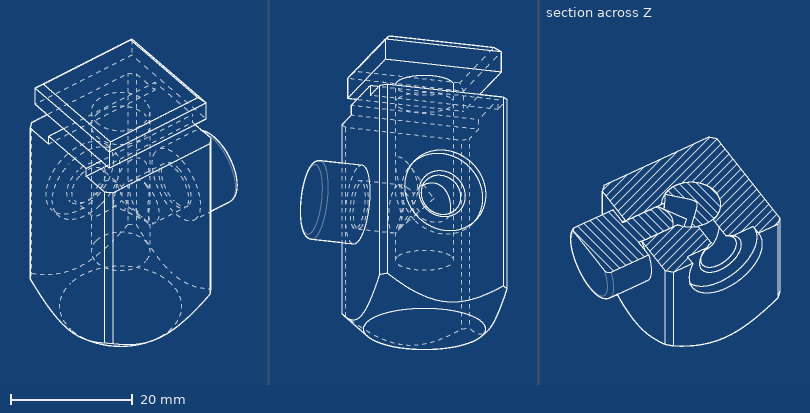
import cadquery as cq

total_height = 47.0
housing_width = 22.0
housing_height = 39.5
edge_chamfer = 1.0
ridge_width = 10.1
ridge_height = 1.7

plate_width = 20.0
plate_thickness = 4.5

stem_diameter = 9.6
stem_bottom = 12.0

screw_height = 20.4
screw_diameter = 8.0
head_diameter = 13.0
head_length = 8.0
head_fillet = 0.75
head_gap = 0.5

port_diameter = 6.8
port_mouth_diameter = screw_diameter
counterbore_diameter = 14.0
counterbore_depth = 1.7

recess_apex = -1.6
recess_rise = 2.5

half_width = housing_width / 2
stem_radius = stem_diameter / 2
screw_radius = screw_diameter / 2
plate_bottom = total_height - plate_thickness
head_start = half_width + head_gap
head_end = head_start + head_length
screw_apex = recess_apex + recess_rise


def cylinder_x(diameter, start, end):
    """Cylinder along X on the axis of the side port."""
    axis_start = cq.Workplane("YZ", origin=(start, 0, screw_height))
    return axis_start.circle(diameter / 2).extrude(end - start)


def cylinder_y(diameter, start, end):
    """Cylinder along Y on the screw axis."""
    axis_end = cq.Workplane("XZ", origin=(0, end, screw_height))
    return axis_end.circle(diameter / 2).extrude(end - start)


def cone(radius, apex, direction):
    """Cone 90 degrees wide, opening from its apex to the given radius."""
    return cq.Workplane(cq.Solid.makeCone(0, radius, radius, pnt=apex, dir=direction))


def make_stem():
    stem = cq.Workplane("XY", origin=(0, 0, stem_bottom)).circle(stem_radius).extrude(plate_bottom - stem_bottom)
    recess = cone(stem_radius - recess_apex, (0, recess_apex, screw_height + recess_rise), (0, 1, 0))
    return stem.cut(recess)


def make_plate():
    plate = cq.Workplane("XY", origin=(0, 0, plate_bottom)).rect(plate_width, plate_width).extrude(plate_thickness)
    return plate.faces(">Z").edges().chamfer(edge_chamfer)


def make_screw():
    tip_end = screw_apex + screw_radius
    tip = cone(screw_radius, (0, screw_apex, screw_height), (0, 1, 0))
    shank = cylinder_y(screw_diameter, tip_end, head_start)
    head = cylinder_y(head_diameter, head_start, head_end).faces(">Y").edges().fillet(head_fillet)
    return tip.union(shank).union(head)


def make_block():
    """Square block with a locating ridge on top and a conically chamfered base."""
    shoulder = housing_height - ridge_height
    block = cq.Workplane("XY").rect(housing_width, housing_width).extrude(housing_height)
    block = block.edges("|Z").chamfer(edge_chamfer)
    ledge_width = (housing_width - ridge_width) / 2
    for side in (-1, 1):
        ledge_center = side * (ridge_width + ledge_width) / 2
        ledge = cq.Workplane("XY", origin=(ledge_center, 0, shoulder)).rect(ledge_width, housing_width)
        block = block.cut(ledge.extrude(ridge_height))
    base_radius = half_width - edge_chamfer
    envelope = cq.Workplane(cq.Solid.makeCone(base_radius, base_radius + housing_height, housing_height))
    return block.intersect(envelope)


def make_side_port():
    """Counterbored hole from the -X face to the stem, with a countersunk mouth."""
    floor = counterbore_depth - half_width
    counterbore = cylinder_x(counterbore_diameter, -half_width, floor)
    hole = cylinder_x(port_diameter, floor, 0)
    mouth_radius = port_mouth_diameter / 2
    mouth = cone(mouth_radius, (floor + mouth_radius, 0, screw_height), (-1, 0, 0))
    return counterbore.union(hole).union(mouth)


def make_housing():
    stem_bore = cq.Workplane("XY", origin=(0, 0, stem_bottom)).circle(stem_radius)
    stem_bore = stem_bore.extrude(housing_height - stem_bottom)
    screw_hole = cylinder_y(screw_diameter, 0, half_width)
    return make_block().cut(stem_bore).cut(screw_hole).cut(make_side_port())


housing = make_housing()
stem = make_stem()
plate = make_plate()
screw = make_screw()

result = cq.Compound.makeCompound([housing.val(), stem.val(), plate.val(), screw.val()])